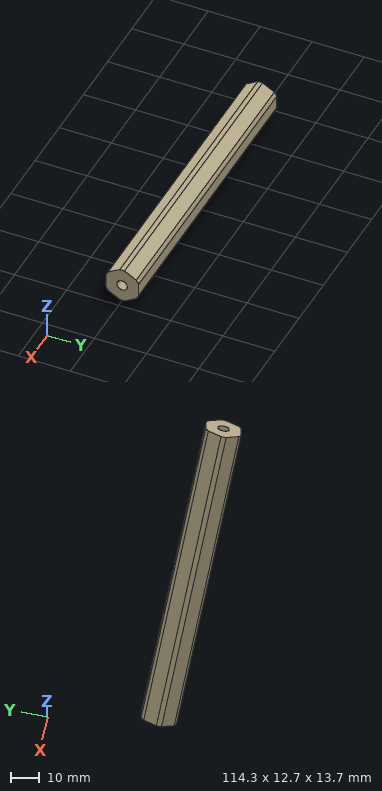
import cadquery as cq
import math

length = 114.3
across_flats = 12.7
across_corners = 13.7
hole_diameter = 4.0
hole_depth = 22.9
drill_tip_angle = 118.0

sharp_corner_diameter = across_flats / math.cos(math.radians(30))


def hexagonal_shaft():
    """Hexagon with corners up and down, turned down to a common corner diameter."""
    hexagon = (
        cq.Workplane("YZ")
        .polygon(6, sharp_corner_diameter)
        .extrude(length)
        .rotate((0, 0, 0), (1, 0, 0), 90)
    )
    round_bar = cq.Workplane("YZ").circle(across_corners / 2).extrude(length)
    return hexagon.intersect(round_bar)


def drilled_hole():
    """Cylinder with a conical drill tip, running along +X from the origin."""
    radius = hole_diameter / 2
    tip_length = radius / math.tan(math.radians(drill_tip_angle / 2))
    return (
        cq.Workplane("XY")
        .polyline([(0, 0), (0, radius), (hole_depth, radius), (hole_depth + tip_length, 0)])
        .close()
        .revolve(360, (0, 0, 0), (1, 0, 0))
    )


shaft = hexagonal_shaft().translate((-length / 2, 0, 0))
left_hole = drilled_hole().translate((-length / 2, 0, 0))
right_hole = left_hole.mirror("YZ")

result = shaft.cut(left_hole).cut(right_hole)